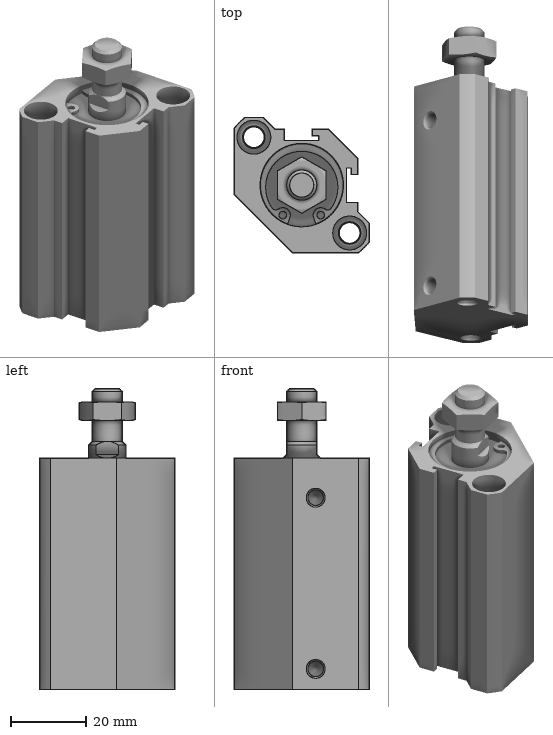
import cadquery as cq
import math


half_size = 18.0
lobe_radius = 23.5
slot_face = 14.9
lobe_inner = 10.2
shoulder_edge = 7.1
diagonal_edge = -2.5
housing_height = 61.5
overall_height = 80.0

slot_floor = 11.9
slot_near = -4.6
slot_far = 4.5
slot_lip = 2.75
lip_underside = 13.1

mount_circle_diameter = 36.0
mount_offset = mount_circle_diameter / 2 / math.sqrt(2)
mount_diameter = 5.5
mount_countersink_diameter = 6.0
counterbore_diameter = 9.0
counterbore_depth = 7.0

port_x = 3.7
port_heights = (5.5, 51.0)
port_diameter = 4.13
port_mouth_diameter = 5.0
port_depth = 5.0
drill_point_angle = 118.0

recess_diameter = 22.2
recess_depth = 2.5
ring_diameter = 22.0
ring_thickness = 1.0
ring_opening_radius = 9.6
ring_opening_y = -0.6
ring_gap_half_angle = 20.0
ear_radius = 2.0
ear_distance = 9.45
ear_hole_diameter = 2.0
ear_fillet = 1.2

rod_diameter = 10.0
thread_diameter = 8.0
tip_diameter = 6.4
thread_length = 14.0
flats_width = 8.0
flats_bottom = 1.0

nut_width = 13.0
nut_thickness = 5.0
nut_tip_gap = 3.5
nut_chamfer_angle = 15.0

recess_floor = housing_height - recess_depth


def make_block():
    """Extruded housing profile, symmetric about the line y = x; both slots are part of it."""
    lobe_end = math.sqrt(lobe_radius**2 - half_size**2)
    lobe_middle = lobe_radius / math.sqrt(2)
    upper_side = [
        (-lobe_end, half_size),
        (-lobe_inner, half_size),
        (-lobe_inner + half_size - slot_face, slot_face),
        (slot_near, slot_face),
        (slot_near, slot_floor),
        (slot_far, slot_floor),
        (slot_far, lip_underside),
        (slot_lip, lip_underside),
        (slot_lip, slot_face),
        (shoulder_edge, slot_face),
    ]
    right_side = [(y, x) for x, y in reversed(upper_side)]
    return (
        cq.Workplane("XY")
        .polyline(upper_side + right_side)
        .threePointArc((lobe_middle, -lobe_middle), (lobe_end, -half_size))
        .lineTo(diagonal_edge, -half_size)
        .lineTo(-half_size, diagonal_edge)
        .lineTo(-half_size, lobe_end)
        .threePointArc((-lobe_middle, lobe_middle), (-lobe_end, half_size))
        .close()
        .extrude(housing_height)
    )


def make_port(height):
    """Drilled blind hole with a countersunk mouth, entering from the -Y face."""
    radius = port_diameter / 2
    mouth_radius = port_mouth_diameter / 2
    point_length = radius / math.tan(math.radians(drill_point_angle / 2))
    half_section = [
        (0, 0),
        (mouth_radius, 0),
        (radius, mouth_radius - radius),
        (radius, port_depth),
        (0, port_depth + point_length),
    ]
    cutter = cq.Workplane("XY").polyline(half_section).close().revolve(360, (0, 0), (0, 1))
    return cutter.translate((port_x, -half_size, height))


def make_retaining_ring():
    """Open ring with an eccentric opening and two drilled ears beside its gap."""
    ring = (
        cq.Workplane("XY").circle(ring_diameter / 2).extrude(ring_thickness)
        .cut(cq.Workplane("XY").center(0, ring_opening_y).circle(ring_opening_radius).extrude(ring_thickness))
    )
    gap_angle = math.radians(ring_gap_half_angle)
    ear_angle = gap_angle + math.asin(ear_radius / ear_distance)
    ear_x = ear_distance * math.sin(ear_angle)
    ear_y = -ear_distance * math.cos(ear_angle)
    ears = cq.Workplane("XY").pushPoints([(-ear_x, ear_y), (ear_x, ear_y)])
    ears_and_webs = ears.circle(ear_radius).extrude(ring_thickness)

    tangent_distance = math.sqrt(ear_distance**2 - ear_radius**2)
    for side in (-1, 1):
        web_corners = [
            (side * ear_x, ear_y),
            (side * tangent_distance * math.sin(gap_angle), -tangent_distance * math.cos(gap_angle)),
            (side * ring_diameter / 2 * math.sin(gap_angle), -ring_diameter / 2 * math.cos(gap_angle)),
        ]
        ears_and_webs = ears_and_webs.union(
            cq.Workplane("XY").polyline(web_corners).close().extrude(ring_thickness)
        )
    rim = cq.Workplane("XY").circle(ring_diameter / 2).extrude(ring_thickness)
    ring = ring.union(ears_and_webs.intersect(rim))

    gap_half_width = ring_diameter * math.tan(gap_angle)
    gap_corners = [(0, 0), (-gap_half_width, -ring_diameter), (gap_half_width, -ring_diameter)]
    ring = ring.cut(cq.Workplane("XY").polyline(gap_corners).close().extrude(ring_thickness))

    ear_roots = cq.selectors.BoxSelector(
        (-ear_x - ear_radius, ear_y, 0),
        (ear_x + ear_radius, ear_y + ear_radius, ring_thickness),
    )
    ring = ring.edges("|Z").edges(ear_roots).fillet(ear_fillet)
    return ring.cut(ears.circle(ear_hole_diameter / 2).extrude(ring_thickness))


def make_housing():
    """Block with counterbored mounting holes, ports, rod end recess and the retaining ring on its floor."""
    mount_points = [(-mount_offset, mount_offset), (mount_offset, -mount_offset)]
    housing = (
        make_block()
        .faces(">Z").workplane(origin=(0, 0, housing_height))
        .pushPoints(mount_points)
        .cboreHole(mount_diameter, counterbore_diameter, counterbore_depth)
    )

    countersink_depth = (mount_countersink_diameter - mount_diameter) / 2
    countersinks = (
        cq.Workplane("XY").workplane(offset=housing_height - counterbore_depth)
        .pushPoints(mount_points)
        .circle(mount_countersink_diameter / 2)
        .extrude(-countersink_depth, taper=45)
    )
    housing = housing.cut(countersinks)

    for height in port_heights:
        housing = housing.cut(make_port(height))

    recess = cq.Workplane("XY").circle(recess_diameter / 2).extrude(recess_depth)
    housing = housing.cut(recess.translate((0, 0, recess_floor)))
    return housing.union(make_retaining_ring().translate((0, 0, recess_floor)))


def make_rod():
    """Stepped rod standing on the recess floor, with two wrench flats facing -X and +X."""
    rod_radius = rod_diameter / 2
    thread_radius = thread_diameter / 2
    tip_radius = tip_diameter / 2
    shoulder = overall_height - thread_length
    half_section = [
        (0, recess_floor),
        (rod_radius, recess_floor),
        (rod_radius, shoulder - (rod_radius - thread_radius)),
        (thread_radius, shoulder),
        (thread_radius, overall_height - (thread_radius - tip_radius)),
        (tip_radius, overall_height),
        (0, overall_height),
    ]
    rod = cq.Workplane("XZ").polyline(half_section).close().revolve(360, (0, 0), (0, 1))

    flat = flats_width / 2
    flat_foot = housing_height + flats_bottom
    flat_section = [
        (flat, shoulder),
        (flat, flat_foot),
        (rod_radius, flat_foot - (rod_radius - flat)),
        (rod_diameter, flat_foot - (rod_radius - flat)),
        (rod_diameter, shoulder),
    ]
    flat_cutter = cq.Workplane("XZ").polyline(flat_section).close().extrude(rod_radius, both=True)
    return rod.cut(flat_cutter).cut(flat_cutter.mirror("YZ"))


def make_nut():
    """Hexagon nut with flats facing -X and +X, chamfered at both ends."""
    corner_radius = nut_width / math.sqrt(3)
    flat_radius = nut_width / 2
    chamfer_height = (corner_radius - flat_radius) * math.tan(math.radians(nut_chamfer_angle))
    hexagon = (
        cq.Workplane("XY").polygon(6, 2 * corner_radius).extrude(nut_thickness)
        .rotate((0, 0, 0), (0, 0, 1), 30)
    )
    half_section = [
        (0, 0),
        (flat_radius, 0),
        (corner_radius, chamfer_height),
        (corner_radius, nut_thickness - chamfer_height),
        (flat_radius, nut_thickness),
        (0, nut_thickness),
    ]
    envelope = cq.Workplane("XZ").polyline(half_section).close().revolve(360, (0, 0), (0, 1))
    bore = cq.Workplane("XY").circle(thread_diameter / 2).extrude(nut_thickness)
    nut_bottom = overall_height - nut_tip_gap - nut_thickness
    return hexagon.intersect(envelope).cut(bore).translate((0, 0, nut_bottom))


housing = make_housing()
rod = make_rod()
nut = make_nut()

result = cq.Compound.makeCompound([housing.val(), rod.val(), nut.val()])